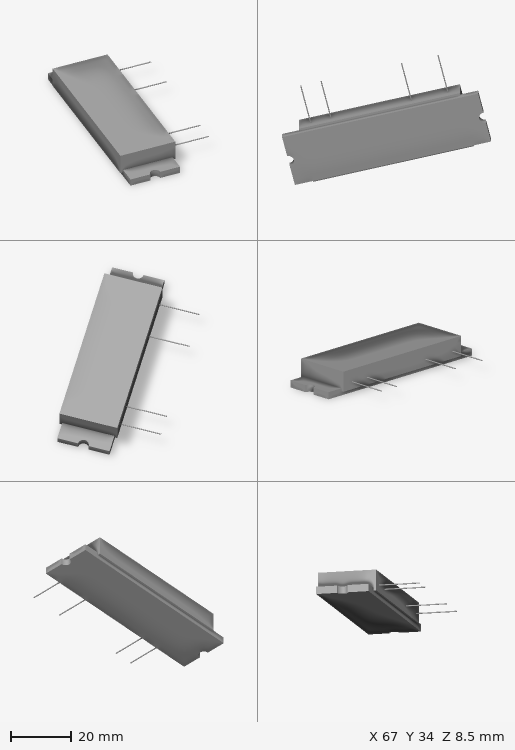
import cadquery as cq

flange_length = 67.0
flange_width = 18.0
flange_thickness = 2.5

notch_diameter = 3.6

housing_length = 55.0
housing_width = 19.95
housing_bottom = 1.5
total_height = 8.5
housing_height = total_height - housing_bottom

lead_diameter = 0.4
lead_reach = 14.0
lead_height = 4.0
lead_positions = (-23.45, -11.0, 16.5, 23.45)
lead_embed = 0.7


def make_flange():
    flange = cq.Workplane("XY").box(
        flange_length, flange_width, flange_thickness, centered=(True, True, False)
    )
    notches = (
        cq.Workplane("XY")
        .pushPoints([(-flange_length / 2, 0), (flange_length / 2, 0)])
        .circle(notch_diameter / 2)
        .extrude(flange_thickness)
    )
    return flange.cut(notches)


def make_housing():
    return (
        cq.Workplane("XY")
        .workplane(offset=housing_bottom)
        .rect(housing_length, housing_width)
        .extrude(housing_height)
    )


def make_leads():
    return (
        cq.Workplane("XZ", origin=(0, housing_width / 2 - lead_embed, 0))
        .pushPoints([(x, lead_height) for x in lead_positions])
        .circle(lead_diameter / 2)
        .extrude(-(lead_reach + lead_embed))
    )


result = make_flange().union(make_housing()).union(make_leads())